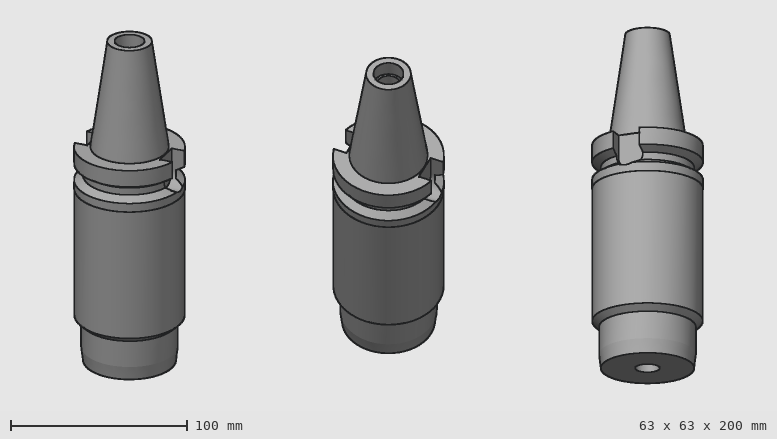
import cadquery as cq

total_height = 200.0
taper_length = 65.5
flange_gap = 1.0
gauge_z = total_height - taper_length
flange_top_z = gauge_z - flange_gap
flange_edge_z = 123.5
groove_top_z = 120.5
groove_bottom_z = 116.0
body_edge_z = 113.0
collar_bottom_z = 107.7
body_bottom_z = 28.2
nose_top_z = 24.6
nose_taper_z = 8.5

taper_end_radius = 25.5 / 2
gauge_radius = 44.5 / 2
flange_radius = 63.0 / 2
body_radius = 62.8 / 2
groove_radius = 53.0 / 2
nose_radius = 55.0 / 2
nose_end_radius = 53.0 / 2

slot_width = 16.2
slot_floor_distance = 22.6
slot_bottom_z = 112.0

bore_diameter = 14.0
counterbore_diameter = 17.0
counterbore_depth = 9.0


def turned_body():
    """Revolve the half profile of the holder about Z."""
    profile = [
        (0, 0),
        (nose_end_radius, 0),
        (nose_radius, nose_taper_z),
        (nose_radius, nose_top_z),
        (body_radius, body_bottom_z),
        (body_radius, collar_bottom_z),
        (flange_radius, collar_bottom_z),
        (flange_radius, body_edge_z),
        (groove_radius, groove_bottom_z),
        (groove_radius, groove_top_z),
        (flange_radius, flange_edge_z),
        (flange_radius, flange_top_z),
        (gauge_radius, flange_top_z),
        (gauge_radius, gauge_z),
        (taper_end_radius, total_height),
        (0, total_height),
    ]
    return cq.Workplane("XZ").polyline(profile).close().revolve(360, (0, 0), (0, 1))


def drive_slot(side):
    """Round-bottomed slot cutter, open at the top, on the +X or -X side."""
    half_width = slot_width / 2
    arc_center_z = slot_bottom_z + half_width
    outline = (
        cq.Workplane("YZ", origin=(side * slot_floor_distance, 0, 0))
        .moveTo(-half_width, flange_top_z)
        .lineTo(-half_width, arc_center_z)
        .threePointArc((0, slot_bottom_z), (half_width, arc_center_z))
        .lineTo(half_width, flange_top_z)
        .close()
    )
    return outline.extrude(side * flange_radius)


result = turned_body()
for side in (-1, 1):
    result = result.cut(drive_slot(side))

result = result.faces(">Z").workplane(origin=(0, 0, total_height)).cboreHole(
    bore_diameter, counterbore_diameter, counterbore_depth
)